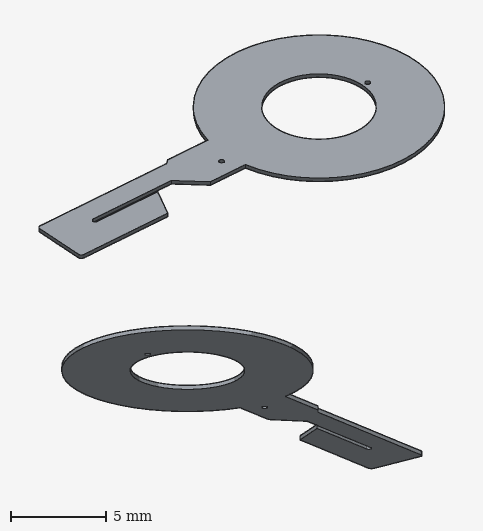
import cadquery as cq

thickness = 0.23
total_length = 25.0
ring_diameter = 13.17
ring_radius = ring_diameter / 2
bore_diameter = 6.0

neck_width = 3.0
neck_left_x = -1.47
neck_right_x = neck_left_x + neck_width
neck_left_end_y = -9.2
neck_right_end_y = -8.82

tail_width = 3.5
tail_left_x = -1.25
tail_right_x = tail_left_x + tail_width
tail_start_y = -9.47
tail_end_y = ring_radius - total_length
tail_corner_radius = 0.2

slot_width = 0.3
slot_left_x = 0.1
slot_right_x = slot_left_x + slot_width
slot_mouth_y = -10.3
slot_bottom_y = -15.85
slot_arc_start_y = slot_bottom_y + slot_width / 2
hook_tip_y = -11.5
hook_shoulder_y = -12.4

pin_hole_diameter = 0.3
pin_hole_centers = [(0.0, 3.37), (0.47, -7.15)]


def make_ring():
    return cq.Workplane("XY").circle(ring_radius).extrude(thickness)


def make_neck_and_tail():
    outline = (
        cq.Workplane("XY")
        .moveTo(neck_left_x, 0)
        .lineTo(neck_left_x, neck_left_end_y)
        .lineTo(tail_left_x, tail_start_y)
        .lineTo(tail_left_x, tail_end_y)
        .lineTo(tail_right_x, tail_end_y)
        .lineTo(tail_right_x, hook_shoulder_y)
        .lineTo(slot_right_x, hook_tip_y)
        .lineTo(slot_right_x, slot_arc_start_y)
        .threePointArc(
            (slot_left_x + slot_width / 2, slot_bottom_y),
            (slot_left_x, slot_arc_start_y),
        )
        .lineTo(slot_left_x, slot_mouth_y)
        .lineTo(neck_right_x, neck_right_end_y)
        .lineTo(neck_right_x, 0)
        .close()
    )
    tail = outline.extrude(thickness)
    return tail.faces("<Y").edges("|Z").fillet(tail_corner_radius)


def make_through_holes():
    bore = cq.Workplane("XY").circle(bore_diameter / 2).extrude(thickness)
    pin_holes = (
        cq.Workplane("XY")
        .pushPoints(pin_hole_centers)
        .circle(pin_hole_diameter / 2)
        .extrude(thickness)
    )
    return bore.union(pin_holes)


result = make_ring().union(make_neck_and_tail()).cut(make_through_holes())